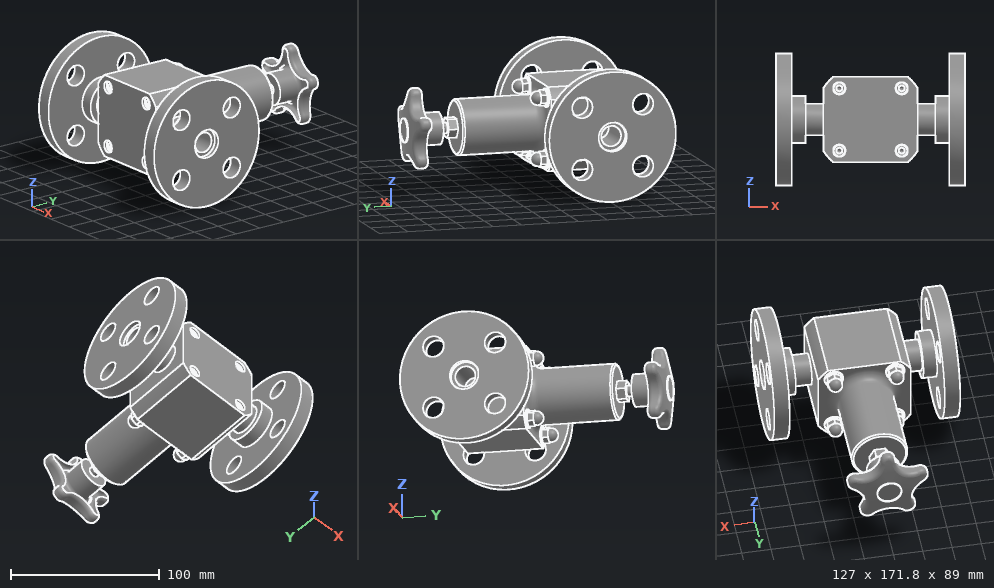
import cadquery as cq
import math


BODY_WIDTH = 63.2
BODY_HEIGHT = 57.7
BODY_CORNER_DIAMETER = 76.3
BODY_BOTTOM_Y = -18.5
BODY_TOP_Y = 33.5

OVERALL_LENGTH = 127.0
PIPE_DIAMETER = 21.3
COLLAR_DIAMETER = 31.8
COLLAR_LENGTH = 9.3
FLANGE_DIAMETER = 89.0
FLANGE_THICKNESS = 10.6
BOLT_HOLE_DIAMETER = 14.3
BOLT_HOLE_OFFSET = 21.3
SOCKET_DIAMETER = 19.8
SOCKET_DEPTH = 3.6
BORE_DIAMETER = 13.9

SCREW_OFFSET = 21.0
SCREW_RECESS_DIAMETER = 8.5
SCREW_RECESS_DEPTH = 1.7
SCREW_RECESS_FLOOR_DEPTH = 4.3
SCREW_HEAD_DIAMETER = 7.4
SCREW_KEY_WIDTH = 3.8
SCREW_KEY_DEPTH = 1.7
WASHER_DIAMETER = 12.7
WASHER_THICKNESS = 0.9
CAP_NUT_WIDTH = 9.5
CAP_NUT_HEX_HEIGHT = 4.3
CAP_NUT_COLLAR_HEIGHT = 1.2

BONNET_DIAMETER = 38.1
BONNET_TOP_Y = 91.2
BONNET_CHAMFER = 1.2
BONNET_FOOT_RADIUS = 6.4
STEM_NUT_WIDTH = 12.7
STEM_NUT_HEIGHT = 6.5
SPINDLE_DIAMETER = 7.4

HUB_DIAMETER = 22.2
HUB_BOTTOM_Y = 102.7
WHEEL_BOTTOM_Y = 115.0
WHEEL_TOP_Y = 127.3
LOBE_COUNT = 5
LOBE_CENTER_RADIUS = 23.5
LOBE_TIP_RADIUS = 5.0
VALLEY_RADIUS = 13.0
WHEEL_DOME_RADIUS = 103.0
WHEEL_CAP_DIAMETER = 16.5
WHEEL_CAP_HEIGHT = 0.3
WHEEL_TOP_FILLET = 2.7
WHEEL_BOTTOM_FILLET = 3.3
WHEEL_RIM = 2.2
WHEEL_CAVITY_DEPTH = 4.3
WHEEL_CAVITY_FILLET = 2.5
HUB_ROOT_RADIUS = 3.0


def plane_at(y, x=0.0, z=0.0):
    """Workplane normal to the stem axis; a negative extrusion rises along +Y."""
    return cq.Workplane("XZ", origin=(x, y, z))


def disc(diameter, y, height, x=0.0, z=0.0):
    return plane_at(y, x, z).circle(diameter / 2).extrude(-height)


def hexagon(across_flats, y, height, x=0.0, z=0.0, turn=0.0):
    across_corners = across_flats / math.cos(math.pi / 6)
    prism = plane_at(y, x, z).polygon(6, across_corners).extrude(-height)
    return prism.rotate((x, 0, z), (x, 1, z), turn)


def make_body():
    height = BODY_TOP_Y - BODY_BOTTOM_Y
    block = plane_at(BODY_BOTTOM_Y).rect(BODY_WIDTH, BODY_HEIGHT).extrude(-height)
    return block.intersect(disc(BODY_CORNER_DIAMETER, BODY_BOTTOM_Y, height))


def make_pipe_end():
    """Flanged end on the +X side."""
    end_x = OVERALL_LENGTH / 2
    flange_x = end_x - FLANGE_THICKNESS
    pipe = cq.Workplane("YZ").circle(PIPE_DIAMETER / 2).extrude(flange_x)
    collar_plane = cq.Workplane("YZ", origin=(flange_x - COLLAR_LENGTH, 0, 0))
    collar = collar_plane.circle(COLLAR_DIAMETER / 2).extrude(COLLAR_LENGTH)
    flange = (
        cq.Workplane("YZ", origin=(flange_x, 0, 0))
        .circle(FLANGE_DIAMETER / 2)
        .extrude(FLANGE_THICKNESS)
        .faces(">X")
        .workplane()
        .rect(2 * BOLT_HOLE_OFFSET, 2 * BOLT_HOLE_OFFSET, forConstruction=True)
        .vertices()
        .hole(BOLT_HOLE_DIAMETER)
    )
    return pipe.union(collar).union(flange)


def make_bore():
    """Stepped bore of the +X pipe end, stopping level with the body side."""
    end_x = OVERALL_LENGTH / 2
    mouth = cq.Workplane("YZ", origin=(end_x, 0, 0))
    socket = mouth.circle(SOCKET_DIAMETER / 2).extrude(-SOCKET_DEPTH)
    bore = mouth.circle(BORE_DIAMETER / 2).extrude(BODY_WIDTH / 2 - end_x)
    return socket.union(bore)


def make_screw_recess(x, z):
    """Ring-shaped clearance around a screw head sunk in the body, with its hex key socket."""
    head_y = BODY_BOTTOM_Y + SCREW_RECESS_DEPTH
    recess = disc(SCREW_RECESS_DIAMETER, BODY_BOTTOM_Y, SCREW_RECESS_FLOOR_DEPTH, x, z)
    head = disc(SCREW_HEAD_DIAMETER, head_y, SCREW_RECESS_FLOOR_DEPTH, x, z)
    key = hexagon(SCREW_KEY_WIDTH, head_y, SCREW_KEY_DEPTH, x, z, turn=30)
    drill_point = cq.Workplane(
        cq.Solid.makeCone(
            SCREW_KEY_WIDTH / 2,
            0,
            SCREW_KEY_WIDTH / 2,
            pnt=cq.Vector(x, head_y + SCREW_KEY_DEPTH, z),
            dir=cq.Vector(0, 1, 0),
        )
    )
    return recess.cut(head).union(key).union(drill_point)


def make_cap_nut(x, z):
    hex_y = BODY_TOP_Y + WASHER_THICKNESS
    collar_y = hex_y + CAP_NUT_HEX_HEIGHT
    dome_y = collar_y + CAP_NUT_COLLAR_HEIGHT
    washer = disc(WASHER_DIAMETER, BODY_TOP_Y, WASHER_THICKNESS, x, z)
    nut = hexagon(CAP_NUT_WIDTH, hex_y, CAP_NUT_HEX_HEIGHT, x, z, turn=30)
    collar = disc(CAP_NUT_WIDTH, collar_y, CAP_NUT_COLLAR_HEIGHT, x, z)
    dome = cq.Workplane("XY", origin=(x, dome_y, z)).sphere(CAP_NUT_WIDTH / 2)
    dome = dome.intersect(disc(CAP_NUT_WIDTH, dome_y, CAP_NUT_WIDTH / 2, x, z))
    return washer.union(nut).union(collar).union(dome)


def turned_boss(radius, end_y, base_y, root_radius):
    """Round boss from base_y to end_y, flaring into the base with a concave root fillet."""
    rise = math.copysign(root_radius, end_y - base_y)
    arc_share = 1 - math.sqrt(0.5)
    return (
        cq.Workplane("XY")
        .moveTo(0, base_y)
        .lineTo(radius + root_radius, base_y)
        .threePointArc(
            (radius + root_radius * arc_share, base_y + rise * arc_share),
            (radius, base_y + rise),
        )
        .lineTo(radius, end_y)
        .lineTo(0, end_y)
        .close()
        .revolve(360, (0, 0, 0), (0, 1, 0))
    )


def make_bonnet():
    """Turned bonnet with a chamfered top and a foot that flares into the body."""
    bonnet = turned_boss(BONNET_DIAMETER / 2, BONNET_TOP_Y, BODY_TOP_Y, BONNET_FOOT_RADIUS)
    return bonnet.faces(">Y").chamfer(BONNET_CHAMFER)


def make_stem():
    nut = hexagon(STEM_NUT_WIDTH, BONNET_TOP_Y, STEM_NUT_HEIGHT)
    spindle = disc(SPINDLE_DIAMETER, BONNET_TOP_Y, HUB_BOTTOM_Y - BONNET_TOP_Y)
    return nut.union(spindle)


def star_outline(y, inset=0.0):
    """Closed star of round lobes joined by tangent valleys, one lobe along +Z."""
    tip = LOBE_TIP_RADIUS - inset
    valley = VALLEY_RADIUS + inset
    half_pitch = math.pi / LOBE_COUNT
    half_chord = LOBE_CENTER_RADIUS * math.sin(half_pitch)
    valley_center = LOBE_CENTER_RADIUS * math.cos(half_pitch) + math.sqrt(
        (tip + valley) ** 2 - half_chord**2
    )

    def polar(radius, angle):
        return (radius * math.cos(angle), radius * math.sin(angle))

    def joint(lobe_angle, valley_angle):
        lobe_x, lobe_z = polar(LOBE_CENTER_RADIUS, lobe_angle)
        valley_x, valley_z = polar(valley_center, valley_angle)
        share = tip / (tip + valley)
        return (lobe_x + share * (valley_x - lobe_x), lobe_z + share * (valley_z - lobe_z))

    first_angle = math.pi / 2
    outline = plane_at(y).moveTo(*joint(first_angle, first_angle - half_pitch))
    for index in range(LOBE_COUNT):
        lobe = first_angle + 2 * half_pitch * index
        next_valley = lobe + half_pitch
        next_lobe = next_valley + half_pitch
        outline = outline.threePointArc(
            polar(LOBE_CENTER_RADIUS + tip, lobe), joint(lobe, next_valley)
        ).threePointArc(
            polar(valley_center - valley, next_valley), joint(next_lobe, next_valley)
        )
    return outline.close()


def make_handwheel():
    """Domed star wheel, hollow underneath, on a round hub."""
    height = WHEEL_TOP_Y - WHEEL_BOTTOM_Y
    dome_top_y = WHEEL_TOP_Y - WHEEL_CAP_HEIGHT
    dome = cq.Workplane("XY", origin=(0, dome_top_y - WHEEL_DOME_RADIUS, 0)).sphere(WHEEL_DOME_RADIUS)
    wheel = star_outline(WHEEL_BOTTOM_Y).extrude(-height).intersect(dome)
    wheel = wheel.faces("<Y").edges().fillet(WHEEL_BOTTOM_FILLET)
    wheel = wheel.faces(">Y").edges().fillet(WHEEL_TOP_FILLET)
    cavity = star_outline(WHEEL_BOTTOM_Y, WHEEL_RIM).extrude(-WHEEL_CAVITY_DEPTH)
    cavity = cavity.faces(">Y").edges().fillet(WHEEL_CAVITY_FILLET)
    wheel = wheel.cut(cavity)

    ceiling_y = WHEEL_BOTTOM_Y + WHEEL_CAVITY_DEPTH
    hub = turned_boss(HUB_DIAMETER / 2, HUB_BOTTOM_Y, ceiling_y, HUB_ROOT_RADIUS)
    cap = disc(WHEEL_CAP_DIAMETER, ceiling_y, WHEEL_TOP_Y - ceiling_y)
    return wheel.union(hub).union(cap)


result = make_body().union(make_bonnet()).union(make_stem()).union(make_handwheel())

pipe_end = make_pipe_end()
result = result.union(pipe_end).union(pipe_end.mirror("YZ"))
bore = make_bore()
result = result.cut(bore).cut(bore.mirror("YZ"))

for screw_x in (-SCREW_OFFSET, SCREW_OFFSET):
    for screw_z in (-SCREW_OFFSET, SCREW_OFFSET):
        result = result.union(make_cap_nut(screw_x, screw_z))
        result = result.cut(make_screw_recess(screw_x, screw_z))